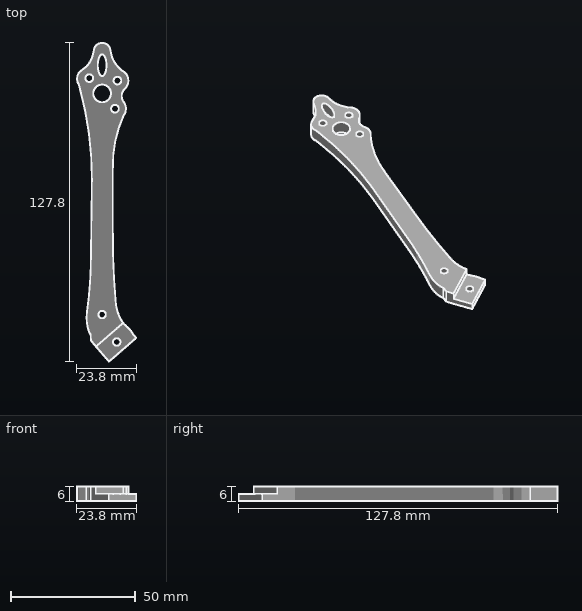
import cadquery as cq
import math

thickness = 6.0
tab_thickness = 3.0

shaft_hole_diameter = 7.0
motor_hole_diameter = 3.0
bolt_circle_radius = 8.0
first_bolt_angle = 40.0
bolt_spacing_angle = 90.0

right_lobe_radius = 4.45
right_lobe_start_angle = 68.0
right_lobe_end_angle = -38.0
neck_radius = 4.0
left_lobe_radius = 4.05
left_lobe_center = (-6.05, 5.9)
left_lobe_low_angle = 213.0
left_lobe_high_angle = 130.0

tip_radius = 3.4
tip_center_y = 16.9
tip_end_angle = 17.0
flank_start = (3.65, 16.0)
flank_middle = (4.55, 13.3)
flank_end = (6.25, 10.9)
window_center_y = 11.3
window_half_length = 4.3
window_half_width = 1.7

arm_right_x = 4.35
arm_left_x = -4.15

right_flare_middle = (5.3, -19.2)
right_straight_top = (arm_right_x, -30.0)
right_straight_bottom = (arm_right_x, -55.0)
right_taper_middle = (4.8, -74.0)
right_bend_start = (5.5, -83.7)
right_bend_middle = (6.5, -88.3)

tab_shoulder_start = (9.9, -93.5)
tab_shoulder_middle = (11.3, -94.85)
tab_shoulder_end = (12.5, -96.6)

notch_bottom = (-4.55, -99.0)
notch_top = (-4.6, -96.8)
bulge_bottom = (-5.3, -95.6)
bulge_middle = (-6.2, -91.7)
bulge_top = (-6.15, -87.8)
left_taper_middle = (-5.15, -79.0)
left_straight_bottom = (-4.6, -69.6)
left_straight_top = (arm_left_x, -34.5)
left_flare_middle = (-5.35, -16.0)
left_flare_end = (-8.95, 1.9)

tab_width = 14.5
tab_length = 8.0
tab_angle = 41.0
tab_low_corner = (2.75, -107.55)

mount_hole_diameter = 2.9
arm_hole_center = (0.0, -88.65)
tab_hole_center = (5.85, -99.65)


def polar(center, radius, angle):
    """Point at a distance and an angle in degrees from a center."""
    turn = math.radians(angle)
    return (center[0] + radius * math.cos(turn), center[1] + radius * math.sin(turn))


def between(start, end, fraction):
    """Point at a fraction of the way from start to end."""
    return (start[0] + (end[0] - start[0]) * fraction, start[1] + (end[1] - start[1]) * fraction)


origin = (0.0, 0.0)
upper_right_bolt = polar(origin, bolt_circle_radius, first_bolt_angle)
left_bolt = polar(origin, bolt_circle_radius, first_bolt_angle + bolt_spacing_angle)
lower_right_bolt = polar(origin, bolt_circle_radius, first_bolt_angle - bolt_spacing_angle)

tab_right_corner = polar(tab_low_corner, tab_width, tab_angle)
step_left = polar(tab_low_corner, tab_length, tab_angle + 90)
step_right = polar(step_left, tab_width, tab_angle)


def add_right_lobes(outline):
    """Two lobes around the right-hand bolts, joined by a tangent concave neck."""
    neck_direction = first_bolt_angle - bolt_spacing_angle / 2
    half_angle = math.radians(bolt_spacing_angle / 2)
    half_chord = bolt_circle_radius * math.sin(half_angle)
    chord_distance = bolt_circle_radius * math.cos(half_angle)
    center_distance = right_lobe_radius + neck_radius
    neck_offset = chord_distance + math.sqrt(center_distance**2 - half_chord**2)
    neck_center = polar(origin, neck_offset, neck_direction)
    tangent_fraction = right_lobe_radius / center_distance
    upper_tangent = between(upper_right_bolt, neck_center, tangent_fraction)
    lower_tangent = between(lower_right_bolt, neck_center, tangent_fraction)
    return (
        outline.lineTo(*polar(upper_right_bolt, right_lobe_radius, right_lobe_start_angle))
        .threePointArc(polar(upper_right_bolt, right_lobe_radius, 0), upper_tangent)
        .threePointArc(polar(neck_center, neck_radius, neck_direction + 180), lower_tangent)
        .threePointArc(
            polar(lower_right_bolt, right_lobe_radius, 0),
            polar(lower_right_bolt, right_lobe_radius, right_lobe_end_angle),
        )
    )


def add_right_side(outline):
    """Right edge of the arm, from the lower lobe down to the tab corner."""
    return (
        outline.threePointArc(right_flare_middle, right_straight_top)
        .lineTo(*right_straight_bottom)
        .threePointArc(right_taper_middle, right_bend_start)
        .threePointArc(right_bend_middle, step_right)
        .lineTo(*tab_shoulder_start)
        .threePointArc(tab_shoulder_middle, tab_shoulder_end)
        .lineTo(*tab_right_corner)
    )


def add_left_side(outline):
    """Left edge of the arm, from the step up and around the left lobe."""
    lobe_middle_angle = (left_lobe_low_angle + left_lobe_high_angle) / 2
    return (
        outline.lineTo(*step_left)
        .lineTo(*notch_bottom)
        .lineTo(*notch_top)
        .lineTo(*bulge_bottom)
        .threePointArc(bulge_middle, bulge_top)
        .threePointArc(left_taper_middle, left_straight_bottom)
        .lineTo(*left_straight_top)
        .threePointArc(left_flare_middle, left_flare_end)
        .lineTo(*polar(left_lobe_center, left_lobe_radius, left_lobe_low_angle))
        .threePointArc(
            polar(left_lobe_center, left_lobe_radius, lobe_middle_angle),
            polar(left_lobe_center, left_lobe_radius, left_lobe_high_angle),
        )
    )


def mirrored(point):
    """The same point on the other side of the arm's long axis."""
    return (-point[0], point[1])


def arm_outline():
    tip_center = (0, tip_center_y)
    tip_left = polar(tip_center, tip_radius, 180 - tip_end_angle)
    tip_right = polar(tip_center, tip_radius, tip_end_angle)
    outline = (
        cq.Workplane("XY")
        .moveTo(*mirrored(flank_start))
        .lineTo(*tip_left)
        .threePointArc((0, tip_center_y + tip_radius), tip_right)
        .lineTo(*flank_start)
        .threePointArc(flank_middle, flank_end)
    )
    outline = add_right_lobes(outline)
    outline = add_right_side(outline)
    outline = outline.lineTo(*tab_low_corner)
    outline = add_left_side(outline)
    return (
        outline.lineTo(*mirrored(flank_end))
        .threePointArc(mirrored(flank_middle), mirrored(flank_start))
        .close()
    )


def tab_relief():
    """Block above the tab, reaching past its sides and end."""
    margin = 5.0
    return (
        cq.Workplane("XY", origin=(step_left[0], step_left[1], tab_thickness))
        .transformed(rotate=(0, 0, tab_angle))
        .moveTo(-margin, 0)
        .lineTo(tab_width + margin, 0)
        .lineTo(tab_width + margin, -tab_length - margin)
        .lineTo(-margin, -tab_length - margin)
        .close()
        .extrude(thickness)
    )


def through_holes(centers, diameter):
    return cq.Workplane("XY").pushPoints(centers).circle(diameter / 2).extrude(thickness)


def tip_window():
    return (
        cq.Workplane("XY")
        .center(0, window_center_y)
        .ellipse(window_half_width, window_half_length)
        .extrude(thickness)
    )


result = (
    arm_outline()
    .extrude(thickness)
    .cut(tab_relief())
    .cut(through_holes([origin], shaft_hole_diameter))
    .cut(through_holes([upper_right_bolt, left_bolt, lower_right_bolt], motor_hole_diameter))
    .cut(through_holes([arm_hole_center, tab_hole_center], mount_hole_diameter))
    .cut(tip_window())
)